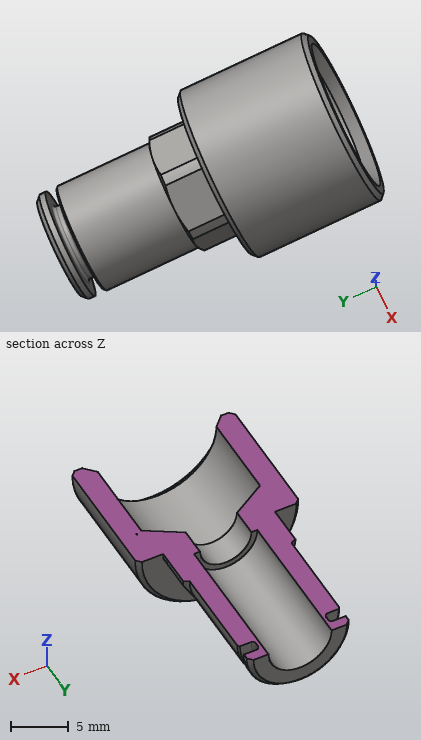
import cadquery as cq
import math

length = 27.5

socket_diameter = 16.0
socket_length = 12.5
edge_chamfer = 0.45
hex_across_flats = 10.0
hex_across_corners = 11.0
hex_length = 4.0
hex_bevel_length = 0.25
sleeve_diameter = 10.0
sleeve_chamfer = 0.16
collar_thickness = 1.02
neck_diameter = 6.9
neck_length = 1.0
neck_fillet = 0.3

bore_diameter = 11.6
bore_depth = 9.08
mouth_diameter = 13.6
mouth_depth = 1.02
drill_point_angle = 118.0
passage_diameter = 5.0
tube_diameter = 6.15
tube_depth = 13.75

hex_end = socket_length + hex_length
collar_start = length - collar_thickness
sleeve_end = collar_start - neck_length


def revolve_profile(points):
    """Turn a closed (radius, y) outline about the Y axis."""
    outline = cq.Workplane("XY").polyline(points).close()
    return outline.revolve(360, (0, 0, 0), (0, 1, 0))


def make_socket():
    radius = socket_diameter / 2
    return revolve_profile([
        (0, 0),
        (radius - edge_chamfer, 0),
        (radius, edge_chamfer),
        (radius, socket_length - edge_chamfer),
        (radius - edge_chamfer, socket_length),
        (0, socket_length),
    ])


def make_hex():
    """Hexagon with flats facing +Z and -Z, rounded corners and a bevelled end."""
    prism = (
        cq.Workplane("XZ", origin=(0, socket_length, 0))
        .polygon(6, hex_across_flats / math.cos(math.pi / 6))
        .extrude(-hex_length)
    )
    corner_radius = hex_across_corners / 2
    turned_envelope = revolve_profile([
        (0, socket_length),
        (corner_radius, socket_length),
        (corner_radius, hex_end - hex_bevel_length),
        (hex_across_flats / 2, hex_end),
        (0, hex_end),
    ])
    return prism.intersect(turned_envelope)


def make_tube_end():
    """Sleeve, narrow filleted neck and release collar."""
    sleeve_radius = sleeve_diameter / 2
    neck_radius = neck_diameter / 2
    fillet_center = neck_radius + neck_fillet
    fillet_offset = neck_fillet * math.cos(math.pi / 4)
    fillet_middle = fillet_center - fillet_offset
    neck_front = sleeve_end + neck_fillet
    neck_back = collar_start - neck_fillet
    outline = (
        cq.Workplane("XY")
        .moveTo(0, hex_end)
        .lineTo(sleeve_radius, hex_end)
        .lineTo(sleeve_radius, sleeve_end - sleeve_chamfer)
        .lineTo(sleeve_radius - sleeve_chamfer, sleeve_end)
        .lineTo(fillet_center, sleeve_end)
        .threePointArc((fillet_middle, neck_front - fillet_offset), (neck_radius, neck_front))
        .lineTo(neck_radius, neck_back)
        .threePointArc((fillet_middle, neck_back + fillet_offset), (fillet_center, collar_start))
        .lineTo(sleeve_radius, collar_start)
        .lineTo(sleeve_radius, length - edge_chamfer)
        .lineTo(sleeve_radius - edge_chamfer, length)
        .lineTo(0, length)
        .close()
    )
    return outline.revolve(360, (0, 0, 0), (0, 1, 0))


def make_passages():
    """Socket bore with a drill-point bottom, through passage and tube bore."""
    bore_radius = bore_diameter / 2
    passage_radius = passage_diameter / 2
    tube_radius = tube_diameter / 2
    cone_length = (bore_radius - passage_radius) / math.tan(math.radians(drill_point_angle / 2))
    tube_start = length - tube_depth
    return revolve_profile([
        (0, 0),
        (mouth_diameter / 2, 0),
        (bore_radius, mouth_depth),
        (bore_radius, bore_depth),
        (passage_radius, bore_depth + cone_length),
        (passage_radius, tube_start),
        (tube_radius, tube_start),
        (tube_radius, length),
        (0, length),
    ])


result = make_socket().union(make_hex()).union(make_tube_end()).cut(make_passages())